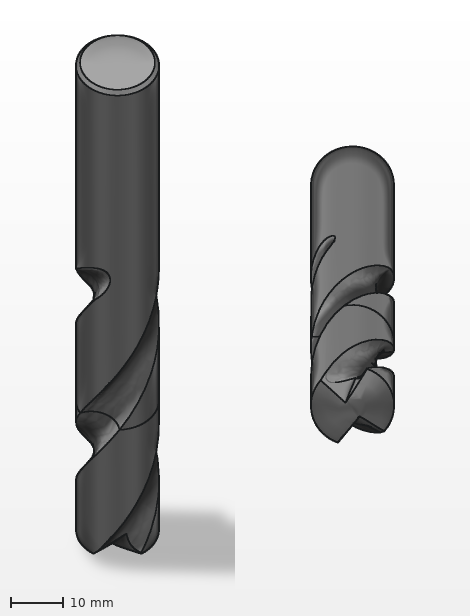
import cadquery as cq
import math

diameter = 16.0
radius = diameter / 2
total_length = 133.0
tip_length = 39.0
point_angle = 140.0
point_height = radius / math.tan(math.radians(point_angle / 2))
end_chamfer = 0.8

flute_count = 2
flute_spacing = 360.0 / flute_count
helix_angle = 30.0
pitch = math.pi * diameter / math.tan(math.radians(helix_angle))
flute_radius = 5.5
flute_center_distance = 10.0
flute_start_angle = 275.5
flute_top = 74.0
flute_below_point = 1.0
runout_height = 20.0
runout_angle = 45.0

gash_start = cq.Vector(0.0, -2.1, 1.4)
gash_direction = cq.Vector(3.2, -1.6, 5.2).normalized()
lip_direction = cq.Vector(5.0, -2.2, 1.3)
gash_opening = 100.0
gash_wall_length = 14.0
gash_length = 30.0


def angle_at(height):
    """Direction of the first flute's center at a height, in degrees."""
    return flute_start_angle + 360.0 * height / pitch


def flute_circle(height):
    """Level section of the first flute, drawn at a height."""
    angle = math.radians(angle_at(height))
    center = (flute_center_distance * math.cos(angle), flute_center_distance * math.sin(angle))
    return cq.Workplane("XY", origin=(0, 0, height)).moveTo(*center).circle(flute_radius)


def helical_flute():
    height = flute_top + flute_below_point
    return flute_circle(-flute_below_point).twistExtrude(height, 360.0 * height / pitch)


def flute_runout():
    """Straight continuation along a line square to the radius, which leaves the drill by itself."""
    angle = math.radians(angle_at(flute_top))
    sideways = runout_height * math.tan(math.radians(runout_angle))
    start = cq.Vector(math.cos(angle), math.sin(angle), 0) * flute_center_distance
    start += cq.Vector(0, 0, flute_top)
    tangent = cq.Vector(-math.sin(angle), math.cos(angle), 0) * sideways
    end = start + tangent + cq.Vector(0, 0, runout_height)
    path = cq.Workplane(cq.Wire.assembleEdges([cq.Edge.makeLine(start, end)]))
    return flute_circle(flute_top).sweep(path)


def gash():
    """Wedge with one wall along the cutting lip and its root line rising into the flute."""
    plane = cq.Plane(origin=gash_start, xDir=lip_direction, normal=gash_direction)
    opening = math.radians(-gash_opening)
    wall_end = (gash_wall_length * math.cos(opening), gash_wall_length * math.sin(opening))
    wedge = cq.Workplane(plane).polyline([(0, 0), (gash_wall_length, 0), wall_end]).close()
    return wedge.extrude(gash_length / 2, both=True)


def cut_all_round(body, cutter):
    """Cut the same shape at every flute position."""
    for index in range(flute_count):
        body = body.cut(cutter.rotate((0, 0, 0), (0, 0, 1), index * flute_spacing))
    return body


shank = cq.Workplane("XY", origin=(0, 0, tip_length)).circle(radius).extrude(total_length - tip_length)
shank = shank.faces(">Z").chamfer(end_chamfer)
shank = cut_all_round(shank, helical_flute())
shank = cut_all_round(shank, flute_runout())

tip_outline = [(0, 0), (radius, point_height), (radius, tip_length), (0, tip_length)]
tip = cq.Workplane("XZ").polyline(tip_outline).close().revolve(360, (0, 0, 0), (0, 1, 0))
tip = cut_all_round(tip, helical_flute())
tip = cut_all_round(tip, gash())

result = cq.Compound.makeCompound([shank.val(), tip.val()])